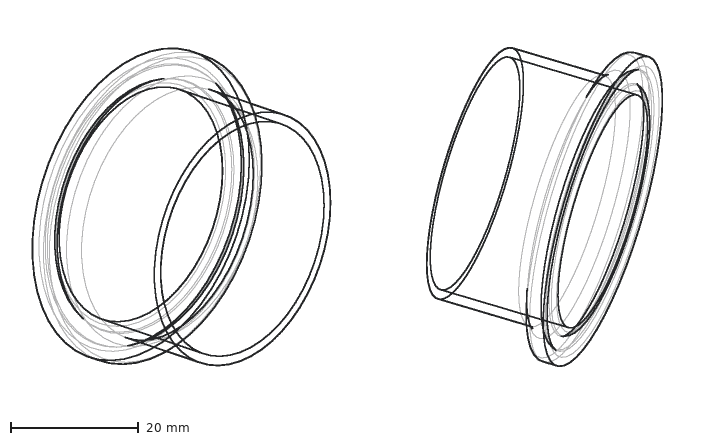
import cadquery as cq
import math

length = 21.5
flange_radius = 50.5 / 2
tube_radius = 41.0 / 2
bore_radius = 38.0 / 2

rim_width = 2.3
rim_round = 0.8
neck_fillet = 2.05
back_slope = math.radians(20)

groove_middle_radius = 21.7
groove_half_width = 2.0
lip_round = 0.85
bottom_round = 1.15
wall_slope = math.radians(70)


def arc_point(center, radius, angle):
    """Point (x, r) on a circle, with the angle measured from +r toward +X."""
    return (
        center[0] + radius * math.sin(angle),
        center[1] + radius * math.cos(angle),
    )


def revolve_about_axis(profile):
    return profile.close().revolve(360, (0, 0, 0), (1, 0, 0))


def make_body():
    """Tube and flange; the rim round and neck fillet are joined by a tangent line."""
    turn = math.pi / 2 - back_slope
    rim_center = (rim_width, flange_radius - rim_round)
    rim_end = arc_point(rim_center, rim_round, turn)

    neck_center_radius = tube_radius + neck_fillet
    neck_start_radius = neck_center_radius - neck_fillet * math.cos(turn)
    neck_start_x = rim_end[0] + (rim_end[1] - neck_start_radius) * math.tan(back_slope)
    neck_center = (neck_start_x + neck_fillet * math.sin(turn), neck_center_radius)

    profile = (
        cq.Workplane("XY")
        .moveTo(0, bore_radius)
        .lineTo(0, flange_radius)
        .lineTo(rim_width, flange_radius)
        .threePointArc(arc_point(rim_center, rim_round, turn / 2), rim_end)
        .lineTo(neck_start_x, neck_start_radius)
        .threePointArc(
            arc_point(neck_center, -neck_fillet, turn / 2),
            (neck_center[0], tube_radius),
        )
        .lineTo(length, tube_radius)
        .lineTo(length, bore_radius)
    )
    return revolve_about_axis(profile)


def make_groove():
    """Symmetric groove: rounded lips, short steep walls and a round bottom."""
    lip_offset = groove_half_width - lip_round * math.sin(wall_slope)
    lip_x = lip_round * (1 - math.cos(wall_slope))
    bottom_offset = bottom_round * math.sin(wall_slope)
    bottom_x = lip_x + (lip_offset - bottom_offset) * math.tan(wall_slope)
    depth = bottom_x + bottom_round * (1 - math.cos(wall_slope))

    lip_mid_offset = groove_half_width - lip_round * math.sin(wall_slope / 2)
    lip_mid_x = lip_round * (1 - math.cos(wall_slope / 2))

    middle = groove_middle_radius
    profile = (
        cq.Workplane("XY")
        .moveTo(0, middle - groove_half_width)
        .threePointArc((lip_mid_x, middle - lip_mid_offset), (lip_x, middle - lip_offset))
        .lineTo(bottom_x, middle - bottom_offset)
        .threePointArc((depth, middle), (bottom_x, middle + bottom_offset))
        .lineTo(lip_x, middle + lip_offset)
        .threePointArc((lip_mid_x, middle + lip_mid_offset), (0, middle + groove_half_width))
    )
    return revolve_about_axis(profile)


result = make_body().cut(make_groove())